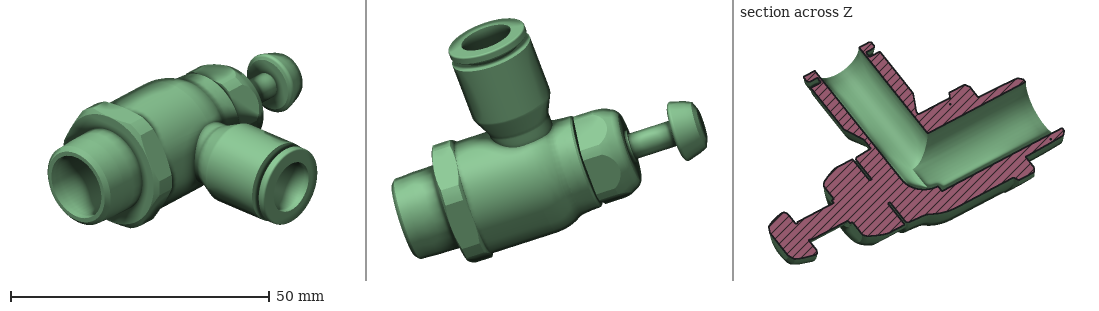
import cadquery as cq
import math


thread_root_radius = 8.5
thread_gauge_radius = 8.4
thread_tip_radius = 8.2
thread_gauge_y = 4.5
thread_chamfer_length = 0.8
thread_end_radius = 7.35

hex_bottom_y = 9.7
hex_top_y = 14.4
hex_across_flats = 23.0
hex_corner_radius = 12.5
hex_face_radius = 11.45
hex_chamfer_length = 0.55

body_radius = 11.4
body_straight_top_y = 27.7
shoulder_top_y = 32.55
shoulder_top_radius = 10.05
collar_bottom_y = 34.0
collar_bottom_radius = 9.55
collar_top_y = 37.7
collar_top_radius = 9.3
collar_chamfer = 0.35

nut_bottom_y = 38.1
nut_top_y = 46.4
nut_across_flats = 17.15
nut_corner_radius = 9.35
nut_dome_start_y = 42.0
nut_dome_end_y = 45.15
nut_dome_end_radius = 8.1
nut_dome_bulge = 0.1
nut_face_radius = 6.85
nut_edge_bulge = 0.2

sleeve_radius = 3.3
sleeve_top_y = 46.95
stem_radius = 2.6
stem_neck_radius = 2.3
stem_neck_y = 55.4
knob_bottom_y = 55.75
knob_top_y = 61.2
knob_bottom_radius = 5.15
knob_radius = 6.0
knob_rim_y = 56.75
knob_bevel_radius = 5.55
knob_bevel_y = 55.95
knob_shoulder_radius = 4.65
knob_shoulder_y = 60.6
knob_top_radius = 3.25
knob_side_bulge = 0.2
knob_rim_bulge = 0.2

branch_y = body_straight_top_y
branch_neck_radius = 6.1
branch_neck_end_x = 11.75
branch_cone_start_x = 12.3
branch_cone_start_radius = 6.25
branch_cone_end_x = 15.85
branch_cone_end_radius = 7.9
branch_sleeve_x = 16.4
branch_sleeve_radius = 8.0
branch_sleeve_end_x = 28.0
release_neck_radius = 5.6
release_ring_x = 29.25
release_ring_radius = 7.85
release_ring_edge = 0.35
branch_end_x = 31.0

main_bore_radius = 6.5
branch_bore_radius = 5.1


def bulged_middle(start, end, bulge):
    """Midpoint of a chord, pushed sideways by bulge to the right of start-to-end."""
    dx = end[0] - start[0]
    dy = end[1] - start[1]
    chord = math.hypot(dx, dy)
    return (
        (start[0] + end[0]) / 2 + bulge * dy / chord,
        (start[1] + end[1]) / 2 - bulge * dx / chord,
    )


def bulged_arc(profile, start, end, bulge):
    """Continue a profile from start to end with a shallow arc."""
    return profile.threePointArc(bulged_middle(start, end, bulge), end)


def revolve_about_y(profile):
    return profile.close().revolve(360, (0, 0, 0), (0, 1, 0))


def hexagon(across_flats, bottom_y, top_y):
    """Hexagonal prism along Y with two corners on the X direction."""
    corner_diameter = across_flats / math.cos(math.radians(30))
    prism = cq.Workplane("XZ").polygon(6, corner_diameter).extrude(-(top_y - bottom_y))
    return prism.translate((0, bottom_y, 0))


def make_spigot():
    profile = cq.Workplane("XY").polyline([
        (0, 0),
        (thread_end_radius, 0),
        (thread_tip_radius, thread_chamfer_length),
        (thread_gauge_radius, thread_gauge_y),
        (thread_root_radius, hex_bottom_y),
        (0, hex_bottom_y),
    ])
    return revolve_about_y(profile)


def make_body_hexagon():
    envelope = cq.Workplane("XY").polyline([
        (0, hex_bottom_y),
        (hex_face_radius, hex_bottom_y),
        (hex_corner_radius, hex_bottom_y + hex_chamfer_length),
        (hex_corner_radius, hex_top_y - hex_chamfer_length),
        (hex_face_radius, hex_top_y),
        (0, hex_top_y),
    ])
    return hexagon(hex_across_flats, hex_bottom_y, hex_top_y).intersect(revolve_about_y(envelope))


def make_body():
    profile = (
        cq.Workplane("XY")
        .moveTo(0, hex_top_y)
        .lineTo(body_radius, hex_top_y)
        .lineTo(body_radius, body_straight_top_y)
        .tangentArcPoint((shoulder_top_radius, shoulder_top_y), relative=False)
        .tangentArcPoint((collar_bottom_radius, collar_bottom_y), relative=False)
        .lineTo(collar_top_radius, collar_top_y - collar_chamfer)
        .lineTo(collar_top_radius - collar_chamfer, collar_top_y)
        .lineTo(0, collar_top_y)
    )
    return revolve_about_y(profile)


def make_lock_nut():
    dome_start = (nut_corner_radius, nut_dome_start_y)
    dome_end = (nut_dome_end_radius, nut_dome_end_y)
    face_edge = (nut_face_radius, nut_top_y)
    envelope = (
        cq.Workplane("XY")
        .moveTo(0, nut_bottom_y)
        .lineTo(nut_corner_radius, nut_bottom_y)
        .lineTo(*dome_start)
    )
    envelope = bulged_arc(envelope, dome_start, dome_end, nut_dome_bulge)
    envelope = bulged_arc(envelope, dome_end, face_edge, nut_edge_bulge).lineTo(0, nut_top_y)
    return hexagon(nut_across_flats, nut_bottom_y, nut_top_y).intersect(revolve_about_y(envelope))


def make_stem():
    bottom_edge = (knob_bottom_radius, knob_bottom_y)
    bevel_edge = (knob_bevel_radius, knob_bevel_y)
    rim = (knob_radius, knob_rim_y)
    shoulder = (knob_shoulder_radius, knob_shoulder_y)
    top_edge = (knob_top_radius, knob_top_y)
    profile = (
        cq.Workplane("XY")
        .moveTo(0, collar_top_y)
        .lineTo(sleeve_radius, collar_top_y)
        .lineTo(sleeve_radius, sleeve_top_y)
        .lineTo(stem_radius, sleeve_top_y)
        .lineTo(stem_radius, stem_neck_y)
        .lineTo(stem_neck_radius, stem_neck_y)
        .lineTo(stem_neck_radius, knob_bottom_y)
        .lineTo(*bottom_edge)
        .lineTo(*bevel_edge)
    )
    profile = bulged_arc(profile, bevel_edge, rim, knob_rim_bulge)
    profile = bulged_arc(profile, rim, shoulder, knob_side_bulge)
    profile = profile.lineTo(*top_edge).lineTo(0, knob_top_y)
    return revolve_about_y(profile)


def make_branch():
    """Branch turned about the X direction; the ring has a bevelled inner and a rounded outer edge."""
    release_ring_edge_radius = release_ring_radius - release_ring_edge
    profile = (
        cq.Workplane("XY")
        .moveTo(0, 0)
        .lineTo(0, branch_neck_radius)
        .lineTo(branch_neck_end_x, branch_neck_radius)
        .tangentArcPoint((branch_cone_start_x, branch_cone_start_radius), relative=False)
        .lineTo(branch_cone_end_x, branch_cone_end_radius)
        .tangentArcPoint((branch_sleeve_x, branch_sleeve_radius), relative=False)
        .lineTo(branch_sleeve_end_x, branch_sleeve_radius)
        .lineTo(branch_sleeve_end_x, release_neck_radius)
        .lineTo(release_ring_x, release_neck_radius)
        .lineTo(release_ring_x, release_ring_edge_radius)
        .lineTo(release_ring_x + release_ring_edge, release_ring_radius)
        .lineTo(branch_end_x - release_ring_edge, release_ring_radius)
        .tangentArcPoint((branch_end_x, release_ring_edge_radius), relative=False)
        .lineTo(branch_end_x, 0)
    )
    branch = profile.close().revolve(360, (0, 0, 0), (1, 0, 0))
    return branch.translate((0, branch_y, 0))


def make_passages():
    """Main bore up to the branch axis, then a round-ended bore out of the branch."""
    main_bore = cq.Workplane("XZ").circle(main_bore_radius).extrude(-branch_y)
    branch_bore = cq.Workplane("YZ").circle(branch_bore_radius).extrude(branch_end_x)
    round_end = cq.Workplane("XY").sphere(branch_bore_radius)
    return main_bore.union(branch_bore.union(round_end).translate((0, branch_y, 0)))


result = (
    make_spigot()
    .union(make_body_hexagon())
    .union(make_body())
    .union(make_lock_nut())
    .union(make_stem())
    .union(make_branch())
    .cut(make_passages())
)